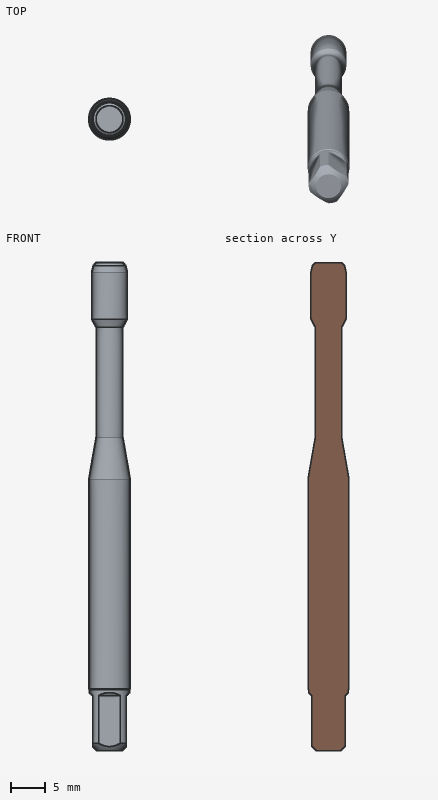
import cadquery as cq

body_diameter = 6.0
neck_diameter = 3.85
head_diameter = 5.1
lead_diameter = 4.7
end_diameter = 3.85
tip_diameter = 3.6
drive_diameter = 5.75

total_length = 70.2
lead_start = 69.7
head_top = 68.8
head_bottom = 62.05
neck_top = 60.85
neck_bottom = 45.1
body_top = 39.0
body_bottom = 8.9
body_chamfer = (body_diameter - drive_diameter) / 2
drive_chamfer = (drive_diameter - tip_diameter) / 2

square_width = 4.85
flat_top = 7.9


def turned_shank():
    """Revolve the stepped profile, listed as (diameter, height) from bottom to top."""
    steps = [
        (tip_diameter, 0),
        (drive_diameter, drive_chamfer),
        (drive_diameter, body_bottom - body_chamfer),
        (body_diameter, body_bottom),
        (body_diameter, body_top),
        (neck_diameter, neck_bottom),
        (neck_diameter, neck_top),
        (head_diameter, head_bottom),
        (head_diameter, head_top),
        (lead_diameter, lead_start),
        (end_diameter, total_length),
    ]
    outline = [(diameter / 2, height) for diameter, height in steps]
    profile = cq.Workplane("XZ").moveTo(0, 0)
    for point in outline:
        profile = profile.lineTo(*point)
    return profile.lineTo(0, total_length).close().revolve(360, (0, 0, 0), (0, 1, 0))


def flat_cutter():
    """Cutter for the +X flat, with a 45 degree run-out that ends at the body diameter."""
    inner = square_width / 2
    outer = body_diameter / 2
    runout = outer - inner
    return (
        cq.Workplane("XZ")
        .moveTo(inner, 0)
        .lineTo(outer, 0)
        .lineTo(outer, flat_top + runout)
        .lineTo(inner, flat_top)
        .close()
        .extrude(body_diameter / 2, both=True)
    )


result = turned_shank()
for angle in (0, 90, 180, 270):
    result = result.cut(flat_cutter().rotate((0, 0, 0), (0, 0, 1), angle))